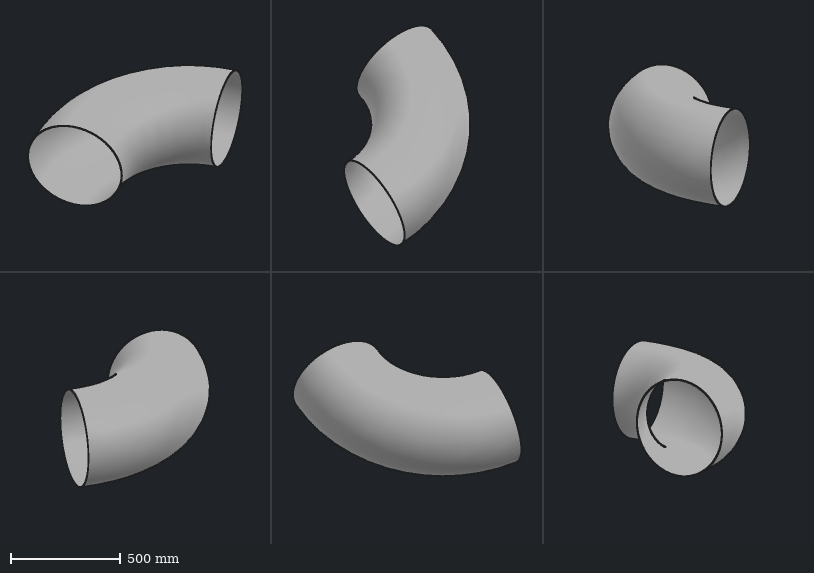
import cadquery as cq

overall_size = 778.0
pipe_diameter = 456.0
wall_thickness = 3.0
bend_angle = 90.0

outer_radius = pipe_diameter / 2
inner_radius = outer_radius - wall_thickness
bend_radius = overall_size - outer_radius

pipe_section = (
    cq.Workplane("XZ")
    .center(-bend_radius, 0)
    .circle(outer_radius)
    .circle(inner_radius)
)
bend_axis_start = (bend_radius, 0)
bend_axis_end = (bend_radius, -1)

result = pipe_section.revolve(bend_angle, bend_axis_start, bend_axis_end)